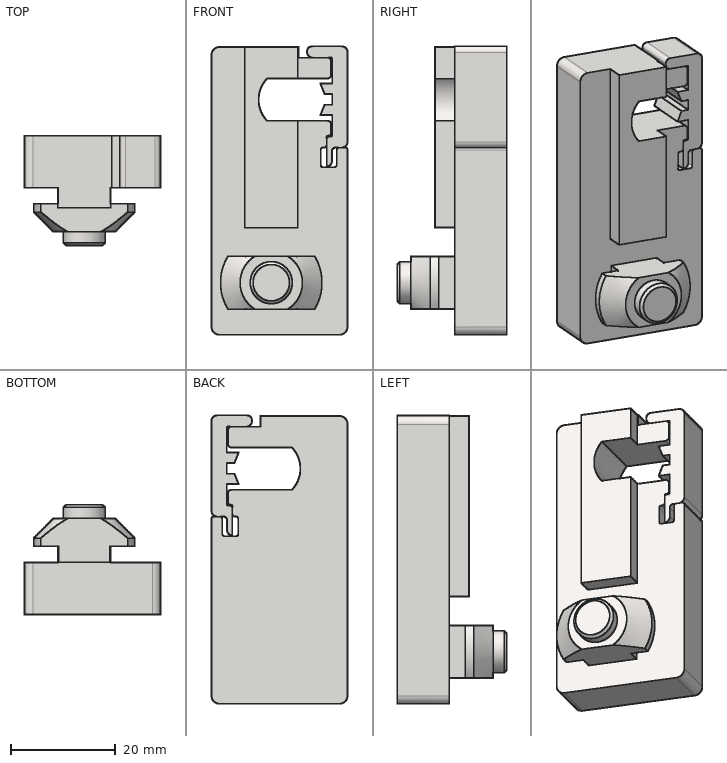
import cadquery as cq


WIDTH = 26.0
HEIGHT = 55.1
DEPTH = 10.0
CLIP_RISE = 0.1
HOUSING_TOP = HEIGHT - CLIP_RISE
OUTER_RADIUS = 1.6
SMALL_RADIUS = 0.45

RAIL_LEFT = 6.4
RAIL_WIDTH = 10.1
RAIL_RIGHT = RAIL_LEFT + RAIL_WIDTH
RAIL_BOTTOM = 20.5
RAIL_HEIGHT = 3.8

SLOT_CENTER_Z = 44.9
SLOT_HALF_HEIGHT = 4.0
SLOT_TOP = SLOT_CENTER_Z + SLOT_HALF_HEIGHT
SLOT_BOTTOM = SLOT_CENTER_Z - SLOT_HALF_HEIGHT
SLOT_ARC_START_X = 10.65
SLOT_ARC_LEFT = 9.05

NOTCH_LEFT = 16.65
LEDGE_Z = 52.95
ARM_END_X = 22.85
ARM_RADIUS = 0.7
SHOULDER_Z = 38.0
SHOULDER_RADIUS = 0.4
SHELF_Z = 35.75

POCKET_LEFT = 20.9
POCKET_RIGHT = 23.9
POCKET_FLOOR = 32.0

CLIP_HOOK_LEFT = 18.25
CLIP_HOOK_RADIUS = 1.0
CLIP_OUTER_RADIUS = 1.1
CLIP_INNER_X = 23.05
CLIP_LEG_LEFT = 22.0
SHOULDER_GAP = 0.15
CLIP_SHOULDER_Z = SHOULDER_Z - SHOULDER_GAP
CLIP_INNER_RADIUS = 0.3
LEG_ROOT_RADIUS = 0.7
LEG_TIP_RADIUS = 1.0
LEG_TIP_GAP = 0.15
LEG_TIP_Z = POCKET_FLOOR + LEG_TIP_GAP

TEETH_CENTER_Z = 44.95
TOOTH_TIP_X = 20.8
TOOTH_ROOT_X = 21.6
TOOTH_INNER_OFFSET = 1.0
TOOTH_OUTER_OFFSET = 3.05

NUT_CENTER_X = RAIL_LEFT + RAIL_WIDTH / 2
NUT_CENTER_Z = 10.0
NUT_HEIGHT = RAIL_WIDTH
NUT_RADIUS = 9.7
NECK_WIDTH = 9.7
NECK_LENGTH = 3.05
NUT_LENGTH = 8.4
NUT_CHAMFER = 3.75

SCREW_RADIUS = 4.0
SCREW_LENGTH = 11.0
SCREW_CHAMFER = 0.55


def round_corner(body, x, z, radius):
    """Fillet the edge that runs along Y through the point (x, z)."""
    reach = 0.005
    corner = cq.selectors.BoxSelector((x - reach, -reach, z - reach), (x + reach, DEPTH + reach, z + reach))
    return body.edges("|Y").edges(corner).fillet(radius)


def front_plane(x=0, z=0):
    """XZ workplane on the housing front face; extrusion runs forward, towards -Y."""
    return cq.Workplane("XZ", origin=(x, 0, z))


def make_housing():
    body = (
        front_plane()
        .moveTo(0, 0)
        .lineTo(WIDTH, 0)
        .lineTo(WIDTH, SHELF_Z)
        .lineTo(POCKET_RIGHT, SHELF_Z)
        .lineTo(POCKET_RIGHT, POCKET_FLOOR)
        .lineTo(POCKET_LEFT, POCKET_FLOOR)
        .lineTo(POCKET_LEFT, SHELF_Z)
        .lineTo(CLIP_LEG_LEFT, SHELF_Z)
        .lineTo(CLIP_LEG_LEFT, SHOULDER_Z)
        .lineTo(ARM_END_X, SHOULDER_Z)
        .lineTo(ARM_END_X, LEDGE_Z)
        .lineTo(NOTCH_LEFT, LEDGE_Z)
        .lineTo(NOTCH_LEFT, HOUSING_TOP)
        .lineTo(0, HOUSING_TOP)
        .close()
        .extrude(-DEPTH)
    )
    for x, z in [(0, 0), (WIDTH, 0), (0, HOUSING_TOP)]:
        body = round_corner(body, x, z, OUTER_RADIUS)
    for x in [POCKET_LEFT, POCKET_RIGHT]:
        for z in [POCKET_FLOOR, SHELF_Z]:
            body = round_corner(body, x, z, SMALL_RADIUS)
    for x in [CLIP_LEG_LEFT, WIDTH]:
        body = round_corner(body, x, SHELF_Z, SMALL_RADIUS)
    for x in [CLIP_LEG_LEFT, ARM_END_X]:
        body = round_corner(body, x, SHOULDER_Z, SHOULDER_RADIUS)
    body = round_corner(body, ARM_END_X, LEDGE_Z, ARM_RADIUS)

    rail = (
        front_plane()
        .moveTo(RAIL_LEFT, RAIL_BOTTOM)
        .lineTo(RAIL_RIGHT, RAIL_BOTTOM)
        .lineTo(RAIL_RIGHT, HOUSING_TOP)
        .lineTo(RAIL_LEFT, HOUSING_TOP)
        .close()
        .extrude(RAIL_HEIGHT)
    )
    slot = (
        cq.Workplane("XZ", origin=(0, DEPTH, 0))
        .moveTo(SLOT_ARC_START_X, SLOT_BOTTOM)
        .lineTo(WIDTH, SLOT_BOTTOM)
        .lineTo(WIDTH, SLOT_TOP)
        .lineTo(SLOT_ARC_START_X, SLOT_TOP)
        .threePointArc((SLOT_ARC_LEFT, SLOT_CENTER_Z), (SLOT_ARC_START_X, SLOT_BOTTOM))
        .close()
        .extrude(DEPTH + RAIL_HEIGHT)
    )
    body = body.union(rail).cut(slot)
    for z in [SLOT_BOTTOM, SLOT_TOP]:
        body = round_corner(body, ARM_END_X, z, ARM_RADIUS)
    return body


def make_tooth(side):
    """One undercut tooth; side is +1 for the upper tooth and -1 for the lower."""
    inner_z = TEETH_CENTER_Z + side * TOOTH_INNER_OFFSET
    outer_z = TEETH_CENTER_Z + side * TOOTH_OUTER_OFFSET
    return (
        front_plane()
        .moveTo(WIDTH - CLIP_OUTER_RADIUS, inner_z)
        .lineTo(TOOTH_ROOT_X, inner_z)
        .lineTo(TOOTH_TIP_X, outer_z)
        .lineTo(WIDTH - CLIP_OUTER_RADIUS, outer_z)
        .close()
        .extrude(-DEPTH)
    )


def make_clip():
    body = (
        front_plane()
        .moveTo(CLIP_LEG_LEFT, LEG_TIP_Z)
        .lineTo(CLIP_INNER_X, LEG_TIP_Z)
        .lineTo(CLIP_INNER_X, SHELF_Z)
        .lineTo(WIDTH, SHELF_Z)
        .lineTo(WIDTH, HEIGHT)
        .lineTo(CLIP_HOOK_LEFT, HEIGHT)
        .lineTo(CLIP_HOOK_LEFT, LEDGE_Z)
        .lineTo(CLIP_INNER_X, LEDGE_Z)
        .lineTo(CLIP_INNER_X, CLIP_SHOULDER_Z)
        .lineTo(CLIP_LEG_LEFT, CLIP_SHOULDER_Z)
        .close()
        .extrude(-DEPTH)
    )
    for z in [LEDGE_Z, HEIGHT]:
        body = round_corner(body, CLIP_HOOK_LEFT, z, CLIP_HOOK_RADIUS)
    for z in [SHELF_Z, HEIGHT]:
        body = round_corner(body, WIDTH, z, CLIP_OUTER_RADIUS)
    body = round_corner(body, CLIP_INNER_X, SHELF_Z, LEG_ROOT_RADIUS)
    body = round_corner(body, CLIP_INNER_X, LEG_TIP_Z, LEG_TIP_RADIUS)
    body = round_corner(body, CLIP_LEG_LEFT, CLIP_SHOULDER_Z, SHOULDER_RADIUS)
    for z in [CLIP_SHOULDER_Z, LEDGE_Z]:
        body = round_corner(body, CLIP_INNER_X, z, CLIP_INNER_RADIUS)
    for side in [1, -1]:
        body = body.union(make_tooth(side))
    return body


def make_nut():
    nut_plane = front_plane(NUT_CENTER_X, NUT_CENTER_Z)
    head = (
        nut_plane.workplane(offset=NECK_LENGTH)
        .circle(NUT_RADIUS)
        .extrude(NUT_LENGTH - NECK_LENGTH)
        .faces("<Y")
        .chamfer(NUT_CHAMFER)
    )
    flats = nut_plane.rect(2 * NUT_RADIUS, NUT_HEIGHT).extrude(NUT_LENGTH)
    neck = nut_plane.rect(NECK_WIDTH, NUT_HEIGHT).extrude(NECK_LENGTH)
    bore = nut_plane.circle(SCREW_RADIUS).extrude(NUT_LENGTH)
    return head.intersect(flats).union(neck).cut(bore)


def make_screw():
    return (
        front_plane(NUT_CENTER_X, NUT_CENTER_Z)
        .circle(SCREW_RADIUS)
        .extrude(SCREW_LENGTH)
        .faces("<Y")
        .chamfer(SCREW_CHAMFER)
    )


housing = make_housing()
clip = make_clip()
nut = make_nut()
screw = make_screw()

result = cq.Compound.makeCompound([housing.val(), clip.val(), nut.val(), screw.val()])